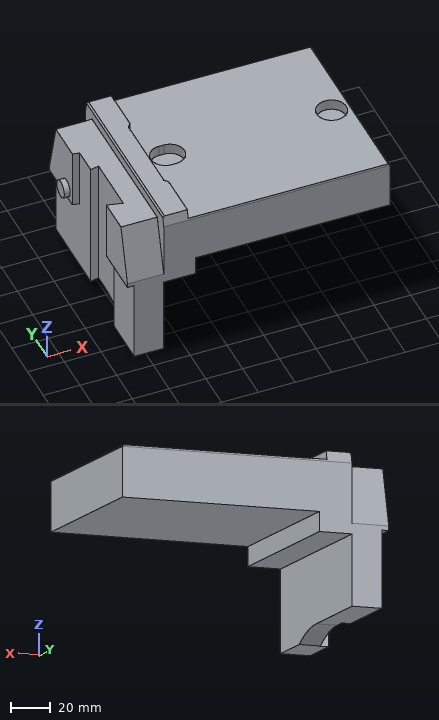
import cadquery as cq
import math


length = 146.2
width = 100.0
height = 85.0
half_width = width / 2
body_front = 23.0
shoulder_z = -5.7
deck_z = -4.7
slab_bottom = -31.6
step_end = 40.5
step_bottom = -41.8
end_chamfer = deck_z - shoulder_z

lip_end = 36.4
lip_top_half_width = 48.5
lip_relief_depth = 1.8
lip_relief_half_width = 22.5
lip_relief_run_out = 2.5
lip_chamfer_run = 1.0
lip_chamfer_drop = 0.6

head_front = 3.2
head_top_half_width = 41.7
bevel_bottom = -36.4
head_bottom = -38.8
plate_front = 6.9
plate_bottom = -78.7
arc_start_y = 0.0
arc_end_y = -23.5

channel_floor = 11.5
dovetail_slope = 0.22
channel_left_y = 5.5
channel_right_y = -23.1
recess_y = 20.5

pin_diameter = 9.5
pin_y = 28.0
pin_z = -33.2
pocket_depth = 6.0
round_pocket_diameter = 16.0
round_pocket_x = 135.6
slot_pocket_x = 46.4
slot_pocket_length = 18.3
slot_pocket_width = 15.6


def extrude_along_x(points, x_start, x_end):
    """Solid with the given YZ outline between two X positions."""
    outline = cq.Workplane("YZ", origin=(x_start, 0, 0)).polyline(points).close()
    return outline.extrude(x_end - x_start)


def make_body():
    """Slab, thick front step and lip, with sloping sides above the shoulder."""
    side_profile = [
        (body_front, step_bottom),
        (step_end, step_bottom),
        (step_end, slab_bottom),
        (length, slab_bottom),
        (length, shoulder_z),
        (length - end_chamfer, deck_z),
        (lip_end, deck_z),
        (lip_end, 0),
        (body_front + lip_chamfer_run, 0),
        (body_front, -lip_chamfer_drop),
    ]
    profile = cq.Workplane("XZ", origin=(0, half_width, 0)).polyline(side_profile).close()
    body = profile.extrude(width)
    envelope = [
        (-half_width, step_bottom),
        (half_width, step_bottom),
        (half_width, shoulder_z),
        (lip_top_half_width, 0),
        (-lip_top_half_width, 0),
        (-half_width, shoulder_z),
    ]
    body = body.intersect(extrude_along_x(envelope, body_front, length))
    relief_floor = lip_end - lip_relief_depth
    relief_outer = lip_relief_half_width + lip_relief_run_out
    relief_outline = [
        (lip_end, -relief_outer),
        (lip_end, relief_outer),
        (relief_floor, lip_relief_half_width),
        (relief_floor, -lip_relief_half_width),
    ]
    relief = cq.Workplane("XY", origin=(0, 0, deck_z)).polyline(relief_outline).close().extrude(-deck_z)
    return body.cut(relief)


def make_head():
    """Block in front of the body, with bevelled sides."""
    outline = [
        (-half_width, head_bottom),
        (half_width, head_bottom),
        (half_width, bevel_bottom),
        (head_top_half_width, shoulder_z),
        (-head_top_half_width, shoulder_z),
        (-half_width, bevel_bottom),
    ]
    return extrude_along_x(outline, head_front, body_front)


def make_plate():
    """Hanging plate whose lower edge curves down to a deeper foot."""
    run = arc_start_y - arc_end_y
    drop = plate_bottom + height
    radius = (run**2 + drop**2) / (2 * drop)
    half_angle = math.atan2(drop, run)
    arc_middle = (
        arc_start_y - radius * math.sin(half_angle),
        plate_bottom - radius * (1 - math.cos(half_angle)),
    )
    return (
        cq.Workplane("YZ", origin=(plate_front, 0, 0))
        .moveTo(half_width, head_bottom)
        .lineTo(half_width, plate_bottom)
        .lineTo(arc_start_y, plate_bottom)
        .threePointArc(arc_middle, (arc_end_y, -height))
        .lineTo(-half_width, -height)
        .lineTo(-half_width, head_bottom)
        .close()
        .extrude(body_front - plate_front)
    )


def make_channel():
    """Full-height dovetail channel joined to the shallow recess."""
    recess_depth = plate_front - head_front
    channel_depth = channel_floor - head_front
    undercut = dovetail_slope * (channel_floor - plate_front)
    outline = [
        (head_front, recess_y),
        (plate_front, recess_y - dovetail_slope * recess_depth),
        (plate_front, channel_left_y),
        (channel_floor, channel_left_y + undercut),
        (channel_floor, channel_right_y - dovetail_slope * channel_depth),
        (head_front, channel_right_y),
    ]
    return cq.Workplane("XY", origin=(0, 0, -height)).polyline(outline).close().extrude(height)


def make_pockets():
    """Blind round pocket and blind oblong pocket sunk into the deck."""
    floor = cq.Workplane("XY", origin=(0, 0, deck_z - pocket_depth))
    round_pocket = floor.center(round_pocket_x, 0).circle(round_pocket_diameter / 2).extrude(pocket_depth)
    slot_pocket = floor.center(slot_pocket_x, 0).slot2D(slot_pocket_length, slot_pocket_width)
    return round_pocket.union(slot_pocket.extrude(pocket_depth))


pin = cq.Workplane("YZ").center(pin_y, pin_z).circle(pin_diameter / 2).extrude(plate_front)

result = make_body().union(make_head()).union(make_plate())
result = result.cut(make_channel()).cut(make_pockets()).union(pin)